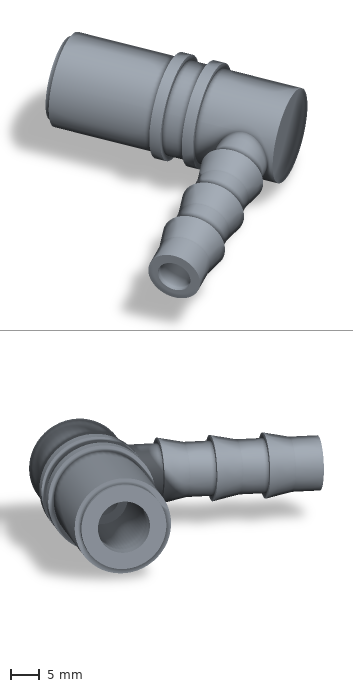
import cadquery as cq

overall_length = 42.5
overall_width = 51.0

barrel_radius = 17.05 / 2
nose_radius = 15.0 / 2
nose_length = 0.95

band_radius = 19.0 / 2
band_width = 2.05
band_pitch = 6.0
first_band_x = 20.0
band_count = 2

stem_radius = 9.6 / 2
barb_radius = 11.55 / 2
barb_pitch = 9.35
barb_length = barb_pitch / 2
barb_count = 3
stem_tip_length = 5.0
stem_end = overall_width - band_radius
stem_x = overall_length - barb_radius

passage_radius = 6.0 / 2
socket_radius = 9.2 / 2
socket_depth = first_band_x


def revolve_about_x(profile):
    """Solid of revolution about the barrel axis from (x, radius) points."""
    return cq.Workplane("XZ").polyline(profile).close().revolve(360, (0, 0, 0), (1, 0, 0))


def revolve_about_stem(profile):
    """Solid of revolution about the stem axis from (distance towards -Y, radius) points."""
    points = [(-distance, radius) for distance, radius in profile]
    plane = cq.Workplane("YZ", origin=(stem_x, 0, 0))
    return plane.polyline(points).close().revolve(360, (0, 0, 0), (1, 0, 0))


def rod(start, end, radius):
    """Half profile of a plain cylinder that runs along its axis from start to end."""
    return [(start, 0), (start, radius), (end, radius), (end, 0)]


def make_barrel():
    """Round barrel with a short reduced nose around its mouth."""
    return revolve_about_x([
        (0, 0),
        (0, nose_radius),
        (nose_length, nose_radius),
        (nose_length, barrel_radius),
        (overall_length, barrel_radius),
        (overall_length, 0),
    ])


def make_stem():
    """Hose stem with conical barbs that narrow towards the free end."""
    profile = [(0, 0), (0, stem_radius)]
    last_barb = stem_end - stem_tip_length - barb_length
    first_barb = last_barb - (barb_count - 1) * barb_pitch
    for index in range(barb_count):
        barb_start = first_barb + index * barb_pitch
        profile += [
            (barb_start, stem_radius),
            (barb_start, barb_radius),
            (barb_start + barb_length, stem_radius),
        ]
    profile += [(stem_end, stem_radius), (stem_end, 0)]
    return revolve_about_stem(profile)


def make_passage():
    """Flow passage that turns from the barrel into the stem with a mitred corner."""
    barrel_leg = revolve_about_x(rod(0, stem_x, passage_radius))
    stem_leg = revolve_about_stem(rod(0, stem_end, passage_radius))
    reach = 2 * passage_radius
    barrel_crossing = revolve_about_x(rod(stem_x - reach, stem_x + reach, passage_radius))
    stem_crossing = revolve_about_stem(rod(-reach, reach, passage_radius))
    corner = barrel_crossing.intersect(stem_crossing)
    return barrel_leg.union(stem_leg).union(corner)


def make_elbow():
    """Elbow fitting: barrel and stem in one piece, bored through."""
    socket = revolve_about_x(rod(0, socket_depth, socket_radius))
    return make_barrel().union(make_stem()).cut(make_passage()).cut(socket)


def make_band(start_x):
    """Plain ring that sits on the outside of the barrel."""
    end_x = start_x + band_width
    return revolve_about_x([
        (start_x, barrel_radius),
        (start_x, band_radius),
        (end_x, band_radius),
        (end_x, barrel_radius),
    ])


elbow = make_elbow().solids()
bands = [make_band(first_band_x + index * band_pitch) for index in range(band_count)]

result = cq.Compound.makeCompound([elbow.val(), *[band.val() for band in bands]])